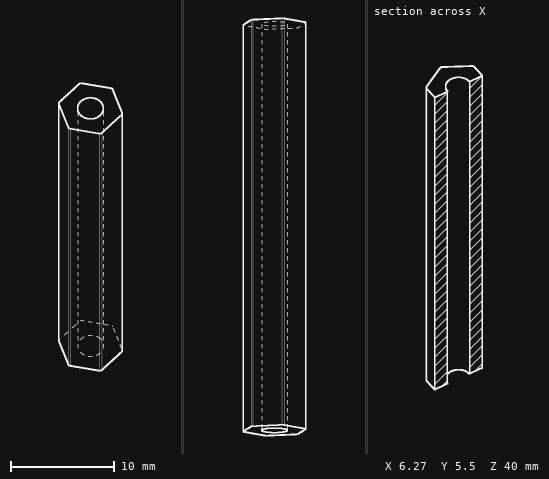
import cadquery as cq
import math

across_flats = 5.5
length = 40.0
bore_diameter = 2.5
edge_radius = 0.25

across_corners = across_flats / math.cos(math.pi / 6)


def hex_body():
    """Hexagonal bar along Z with corners on the X axis and rounded long edges."""
    bar = cq.Workplane("XY").polygon(6, across_corners).extrude(length)
    return bar.edges("|Z").fillet(edge_radius)


def bore():
    """Plain cylinder through the full length of the bar."""
    return cq.Workplane("XY").circle(bore_diameter / 2).extrude(length)


result = hex_body().cut(bore())